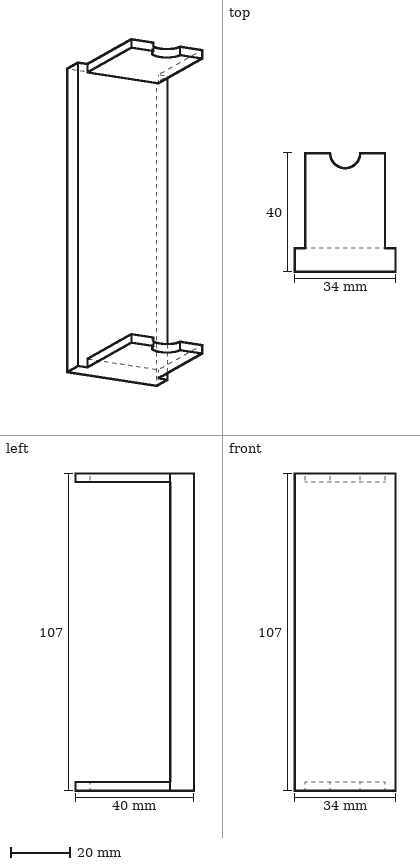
import cadquery as cq

width = 34.0
depth = 40.0
height = 107.0

plate_thickness = 8.0
arm_width = 27.0
arm_thickness = 3.0
notch_radius = 5.0


def make_plate():
    """Upright plate with its front face on Y = 0 and its base on Z = 0."""
    return cq.Workplane("XY").box(width, plate_thickness, height, centered=(True, False, False))


def make_arm(base_z):
    """Flat arm reaching back from the plate, with a half-round notch in its end."""
    arm = (
        cq.Workplane("XY", origin=(0, 0, base_z))
        .box(arm_width, depth, arm_thickness, centered=(True, False, False))
    )
    notch = (
        cq.Workplane("XY", origin=(0, depth, base_z))
        .circle(notch_radius)
        .extrude(arm_thickness)
    )
    return arm.cut(notch)


result = make_plate()
for arm_base_z in (0, height - arm_thickness):
    result = result.union(make_arm(arm_base_z))